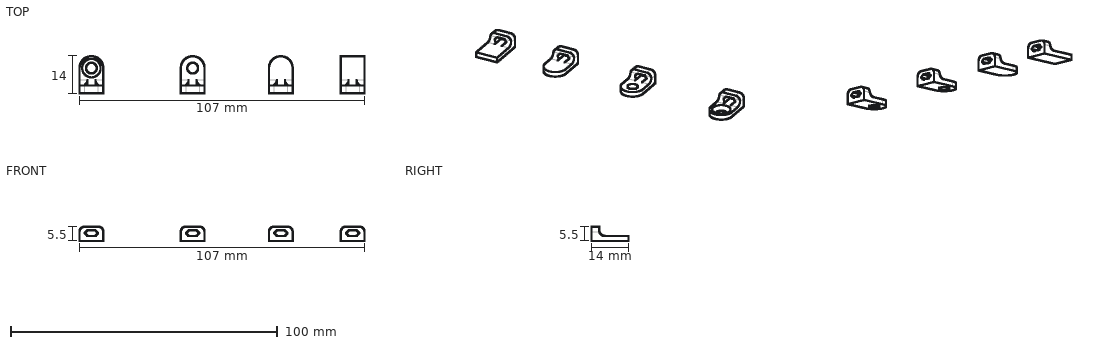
import cadquery as cq

row_length = 107.0
bracket_width = 9.0
bracket_length = 14.0
bracket_height = 5.5

slot_flat_length = 3.0
slot_point_depth = 1.0
slot_height = 2 * slot_point_depth

tongue_thickness = slot_height
wall_thickness = 3.0
inner_fillet_radius = tongue_thickness
wall_corner_radius = tongue_thickness
tongue_end_radius = bracket_width / 2

slot_center_z = tongue_thickness + slot_height / 2

hole_diameter = 4.0
countersink_diameter = 7.0
countersink_angle = 90
hole_center_y = bracket_length - tongue_end_radius

countersunk_x = bracket_width / 2
plain_hole_x = countersunk_x + 38.0
round_blank_x = countersunk_x + 71.0
square_blank_x = row_length - bracket_width / 2


def square_bracket():
    """L-shaped bracket with a slotted wall at Y = 0 and a square tongue end."""
    profile = (
        cq.Workplane("YZ")
        .lineTo(bracket_length, 0)
        .lineTo(bracket_length, tongue_thickness)
        .lineTo(wall_thickness + inner_fillet_radius, tongue_thickness)
        .radiusArc((wall_thickness, tongue_thickness + inner_fillet_radius), inner_fillet_radius)
        .lineTo(wall_thickness, bracket_height)
        .lineTo(0, bracket_height)
        .close()
    )
    body = profile.extrude(bracket_width / 2, both=True)
    body = body.edges("|Y and >Z").edges("<X or >X").fillet(wall_corner_radius)
    half_flat = slot_flat_length / 2
    half_height = slot_height / 2
    point_x = half_flat + slot_point_depth
    slot = (
        cq.Workplane("XZ", origin=(0, 0, slot_center_z))
        .polyline([
            (-point_x, 0),
            (-half_flat, half_height),
            (half_flat, half_height),
            (point_x, 0),
            (half_flat, -half_height),
            (-half_flat, -half_height),
        ])
        .close()
        .extrude(-bracket_length)
    )
    return body.cut(slot)


def round_bracket():
    """Bracket whose tongue ends in a full half circle."""
    outline = (
        cq.Workplane("XY")
        .moveTo(-bracket_width / 2, 0)
        .lineTo(bracket_width / 2, 0)
        .lineTo(bracket_width / 2, hole_center_y)
        .threePointArc((0, bracket_length), (-bracket_width / 2, hole_center_y))
        .close()
        .extrude(bracket_height)
    )
    return square_bracket().intersect(outline)


def hole_plane(bracket):
    """Workplane on the tongue's upper face, centered on the screw hole."""
    return bracket.copyWorkplane(
        cq.Workplane("XY", origin=(0, hole_center_y, tongue_thickness))
    )


def plain_hole_bracket():
    return hole_plane(round_bracket()).hole(hole_diameter)


def countersunk_bracket():
    return hole_plane(round_bracket()).cskHole(hole_diameter, countersink_diameter, countersink_angle)


countersunk = countersunk_bracket().translate((countersunk_x, 0, 0))
plain_hole = plain_hole_bracket().translate((plain_hole_x, 0, 0))
round_blank = round_bracket().translate((round_blank_x, 0, 0))
square_blank = square_bracket().translate((square_blank_x, 0, 0))

result = cq.Compound.makeCompound(
    [countersunk.val(), plain_hole.val(), round_blank.val(), square_blank.val()]
)